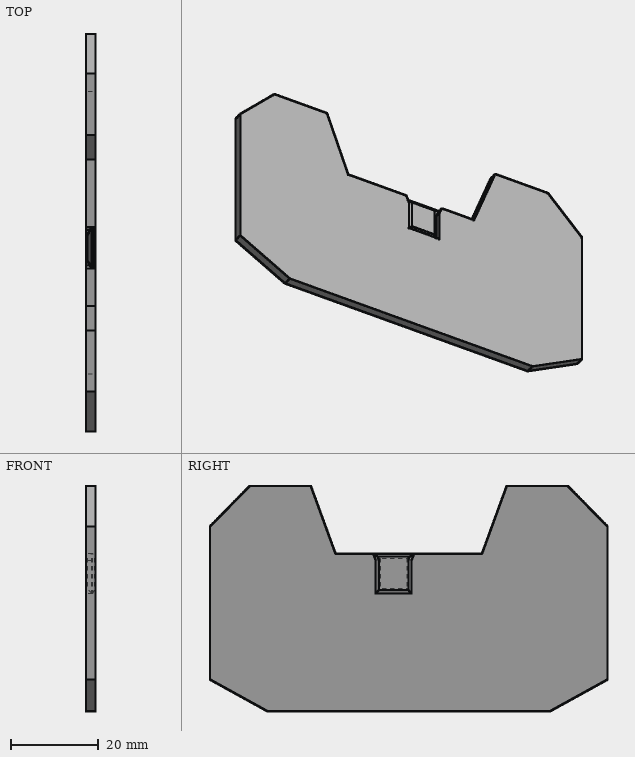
import cadquery as cq
import math

thickness = 2.2
length = 90.6
height = 51.4
half_length = length / 2
top_corner_y = 36.2
top_corner_drop = 9.2
bottom_corner_y = 32.2
bottom_corner_rise = 7.25

notch_top_half = 22.3
notch_floor_half = 16.7
notch_depth = 15.4
notch_floor_z = height - notch_depth

window_y = -3.4
window_half = 4.1
window_mouth_half = 4.7
window_depth = 9.1
mouth_flare_height = 1.5

front_recess = 0.4
back_recess = 0.3
land_thickness = 0.3
front_bevel_depth = 0.9
front_bevel_inset = 1.1
back_bevel_inset = 0.7
land_front_x = front_recess + front_bevel_depth
land_back_x = land_front_x + land_thickness
back_bevel_depth = thickness - back_recess - land_back_x


def plate():
    right_side = [
        (bottom_corner_y, 0),
        (half_length, bottom_corner_rise),
        (half_length, height - top_corner_drop),
        (top_corner_y, height),
        (notch_top_half, height),
        (notch_floor_half, notch_floor_z),
    ]
    left_side = [(-y, z) for y, z in reversed(right_side)]
    return cq.Workplane("YZ").polyline(right_side + left_side).close().extrude(thickness)


def window_outline(x):
    bottom_z = notch_floor_z - window_depth
    flare_z = notch_floor_z - mouth_flare_height
    points = [
        (window_y - window_half, bottom_z),
        (window_y + window_half, bottom_z),
        (window_y + window_half, flare_z),
        (window_y + window_mouth_half, notch_floor_z),
        (window_y - window_mouth_half, notch_floor_z),
        (window_y - window_half, flare_z),
    ]
    return cq.Workplane("YZ", origin=(x, 0, 0)).polyline(points).close()


def bevel(x, depth, inset, direction):
    """Part of the pad that narrows by inset over depth, toward -X or +X."""
    taper = math.degrees(math.atan2(inset, depth))
    return window_outline(x).extrude(direction * depth, taper=taper)


window = window_outline(0).extrude(thickness)
land = window_outline(land_front_x).extrude(land_thickness)
front_bevel = bevel(land_front_x, front_bevel_depth, front_bevel_inset, -1)
back_bevel = bevel(land_back_x, back_bevel_depth, back_bevel_inset, 1)
pad = land.union(front_bevel).union(back_bevel)

result = plate().cut(window).union(pad)